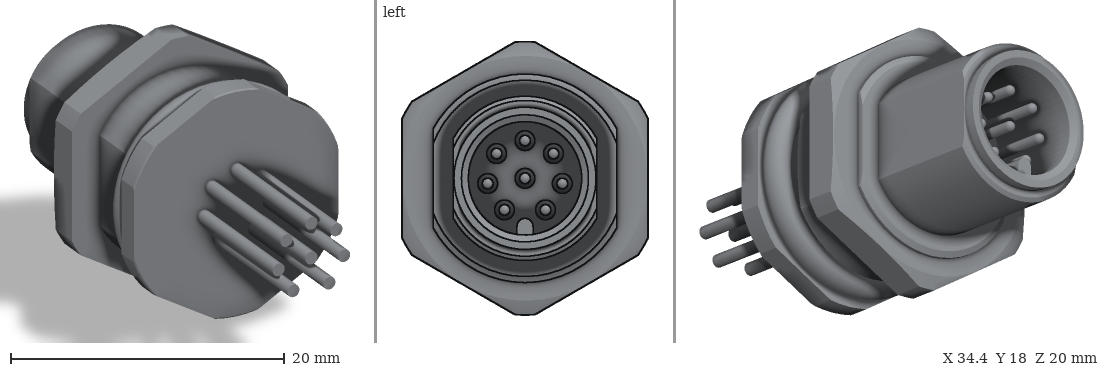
import cadquery as cq
import math

TIP_X = 0.0
SLEEVE_X = 0.95
COLLAR_X = 11.0
NUT_X = 11.55
NUT_END_X = 14.35
BODY_TAPER_X = 18.2
BODY_END_X = 18.7
FLANGE_X = 21.0
FLANGE_END_X = 22.9
WIRE_END_X = 34.4

TIP_DIAMETER = 10.4
SLEEVE_DIAMETER = 12.0
SLEEVE_FLATS = 10.5
SLEEVE_CHAMFER_LENGTH = 0.2
SLEEVE_CHAMFER_DEPTH = 0.3

BORE_DIAMETER = 8.3
BORE_MOUTH_DIAMETER = 9.3
BORE_MOUTH_LENGTH = 0.35
BORE_DEPTH = 8.6

BODY_DIAMETER = 15.25
BODY_FLATS = 13.4
COLLAR_CHAMFER_LENGTH = 0.25
COLLAR_CHAMFER_DEPTH = 0.45

NUT_FLATS = 18.0
NUT_CORNER_DIAMETER = 20.0
NUT_CHAMFER_DIAMETER = 17.9
NUT_CHAMFER_LENGTH = 0.3
FLANGE_FLATS = 17.0
FLANGE_CORNER_DIAMETER = 18.0
FLANGE_CHAMFER = 0.1

NECK_DIAMETER = 13.0
RING_SECTION = 2.03
RING_SQUEEZE = 0.017

CONTACT_CIRCLE_RADIUS = 2.75
CONTACT_COUNT = 7
CONTACT_PITCH_ANGLE = 49.0
PIN_DIAMETER = 0.8
PIN_TIP_X = 1.8
PIN_SEAT_DIAMETER = 1.45
PIN_SEAT_LENGTH = 0.35
WIRE_DIAMETER = 1.0

KEY_WIDTH = 1.17
KEY_TOP_Z = -2.92
KEY_FRONT_X = 0.4


def revolve_profile(points):
    """Turn a closed (x, radius) outline about the X axis."""
    return cq.Workplane("XY").polyline(points).close().revolve(360, (0, 0), (1, 0))


def cylinder(start_x, end_x, diameter, y=0.0, z=0.0):
    return cq.Workplane("YZ", origin=(start_x, y, z)).circle(diameter / 2).extrude(end_x - start_x)


def slab(start_x, end_x, width):
    """Block that limits a turned shape to two flats facing +Y and -Y."""
    length = end_x - start_x
    return cq.Workplane("XY").box(length, width, 2 * width).translate((start_x + length / 2, 0, 0))


def hexagon(start_x, end_x, flats):
    """Hexagonal prism with two flats facing +Y and -Y."""
    corner_diameter = flats / math.cos(math.pi / 6)
    prism = cq.Workplane("YZ", origin=(start_x, 0, 0)).polygon(6, corner_diameter).extrude(end_x - start_x)
    return prism.rotate((0, 0, 0), (1, 0, 0), 30)


def make_sleeve():
    tip = cylinder(TIP_X, SLEEVE_X, TIP_DIAMETER)
    radius = SLEEVE_DIAMETER / 2
    turned = revolve_profile([
        (SLEEVE_X, 0),
        (SLEEVE_X, radius - SLEEVE_CHAMFER_DEPTH),
        (SLEEVE_X + SLEEVE_CHAMFER_LENGTH, radius),
        (COLLAR_X, radius),
        (COLLAR_X, 0),
    ])
    return tip.union(turned.intersect(slab(SLEEVE_X, COLLAR_X, SLEEVE_FLATS)))


def make_body():
    radius = BODY_DIAMETER / 2
    turned = revolve_profile([
        (COLLAR_X, 0),
        (COLLAR_X, radius - COLLAR_CHAMFER_DEPTH),
        (COLLAR_X + COLLAR_CHAMFER_LENGTH, radius),
        (BODY_TAPER_X, radius),
        (BODY_END_X, NECK_DIAMETER / 2),
        (BODY_END_X, 0),
    ])
    neck = cylinder(BODY_END_X, FLANGE_X, NECK_DIAMETER)
    return turned.intersect(slab(COLLAR_X, BODY_END_X, BODY_FLATS)).union(neck)


def make_nut():
    corner_radius = NUT_CORNER_DIAMETER / 2
    turned = revolve_profile([
        (NUT_X, 0),
        (NUT_X, NUT_CHAMFER_DIAMETER / 2),
        (NUT_X + NUT_CHAMFER_LENGTH, corner_radius),
        (NUT_END_X, corner_radius),
        (NUT_END_X, 0),
    ])
    return hexagon(NUT_X, NUT_END_X, NUT_FLATS).intersect(turned)


def make_flange():
    turned = cylinder(FLANGE_X, FLANGE_END_X, FLANGE_CORNER_DIAMETER).faces(">X").chamfer(FLANGE_CHAMFER)
    return hexagon(FLANGE_X, FLANGE_END_X, FLANGE_FLATS).intersect(turned)


def make_ring():
    section_radius = RING_SECTION / 2
    offset = section_radius - RING_SQUEEZE
    section_centre = (FLANGE_X - offset, NECK_DIAMETER / 2 + offset)
    section = cq.Workplane("XY").moveTo(*section_centre).circle(section_radius)
    return section.revolve(360, (0, 0), (1, 0))


def make_bore():
    bore_radius = BORE_DIAMETER / 2
    return revolve_profile([
        (TIP_X, 0),
        (TIP_X, BORE_MOUTH_DIAMETER / 2),
        (TIP_X + BORE_MOUTH_LENGTH, bore_radius),
        (TIP_X + BORE_DEPTH, bore_radius),
        (TIP_X + BORE_DEPTH, 0),
    ])


def make_key():
    floor_x = TIP_X + BORE_DEPTH
    half_width = KEY_WIDTH / 2
    root_z = -(BORE_DIAMETER + TIP_DIAMETER) / 4
    round_z = KEY_TOP_Z - half_width
    outline = (
        cq.Workplane("YZ", origin=(KEY_FRONT_X, 0, 0))
        .moveTo(-half_width, root_z)
        .lineTo(-half_width, round_z)
        .threePointArc((0, KEY_TOP_Z), (half_width, round_z))
        .lineTo(half_width, root_z)
        .close()
    )
    return outline.extrude(floor_x - KEY_FRONT_X)


def make_contact(y, z):
    """Round-nosed pin in the bore, its cone-shaped seat on the bore floor and the wire behind the flange."""
    floor_x = TIP_X + BORE_DEPTH
    nose_x = PIN_TIP_X + PIN_DIAMETER / 2
    nose = cq.Workplane("XY").sphere(PIN_DIAMETER / 2).translate((nose_x, y, z))
    pin = cylinder(nose_x, floor_x, PIN_DIAMETER, y, z)
    seat = revolve_profile([
        (floor_x, 0),
        (floor_x, PIN_SEAT_DIAMETER / 2),
        (floor_x - PIN_SEAT_LENGTH, PIN_DIAMETER / 2),
        (floor_x - PIN_SEAT_LENGTH, 0),
    ]).translate((0, y, z))
    wire = cylinder(FLANGE_END_X, WIRE_END_X, WIRE_DIAMETER, y, z)
    return nose.union(pin).union(seat).union(wire)


def contact_positions():
    positions = [(0.0, 0.0)]
    for index in range(CONTACT_COUNT):
        angle = math.radians(CONTACT_PITCH_ANGLE * (index - (CONTACT_COUNT - 1) / 2))
        positions.append((CONTACT_CIRCLE_RADIUS * math.sin(angle), CONTACT_CIRCLE_RADIUS * math.cos(angle)))
    return positions


result = make_sleeve().union(make_body()).union(make_nut()).union(make_flange()).union(make_ring())
result = result.cut(make_bore()).union(make_key())
for contact_y, contact_z in contact_positions():
    result = result.union(make_contact(contact_y, contact_z))